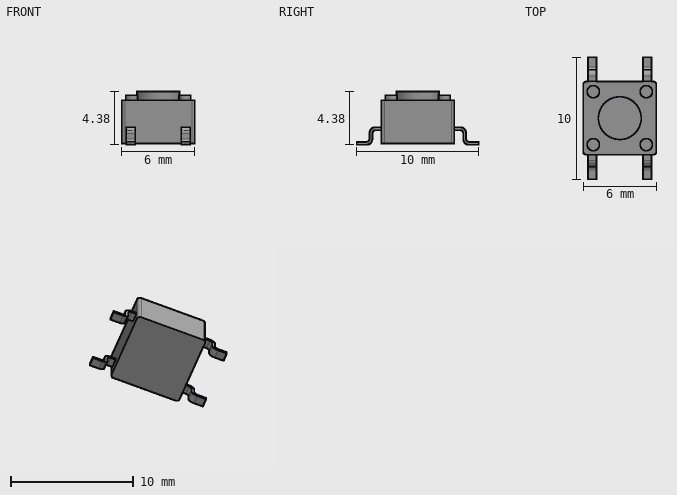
import cadquery as cq

body_side = 6.0
body_height = 3.56
body_standoff = 0.1
body_corner_radius = 0.26
body_top = body_standoff + body_height

button_diameter = 3.5
overall_height = 4.38

peg_diameter = 1.0
peg_height = 0.42
peg_pitch = 4.33

lead_span = 10.0
lead_pitch = 4.5
lead_width = 0.72
lead_thickness = 0.26
lead_top = 1.46
lead_knee_reach = 0.96
bend_outer_radius = 0.5
bend_inner_radius = bend_outer_radius - lead_thickness
lead_embed = 0.5


def make_body():
    block = cq.Workplane("XY", origin=(0, 0, body_standoff)).rect(body_side, body_side).extrude(body_height)
    return block.edges("|Z").fillet(body_corner_radius)


def make_button():
    top_plane = cq.Workplane("XY", origin=(0, 0, body_top))
    return top_plane.circle(button_diameter / 2).extrude(overall_height - body_top)


def make_pegs():
    top_plane = cq.Workplane("XY", origin=(0, 0, body_top))
    centers = top_plane.rect(peg_pitch, peg_pitch, forConstruction=True).vertices()
    return centers.circle(peg_diameter / 2).extrude(peg_height)


def make_lead(x_center):
    """One lead on the +Y side: a bent strip drawn in the YZ plane and extruded along X."""
    root = body_side / 2 - lead_embed
    tip = lead_span / 2
    knee_outer = body_side / 2 + lead_knee_reach
    knee_inner = knee_outer - lead_thickness
    upper_bend_y = knee_outer - bend_outer_radius
    upper_bend_z = lead_top - bend_outer_radius
    lower_bend_y = knee_inner + bend_outer_radius
    lower_bend_z = bend_outer_radius

    upper_side = (
        cq.Workplane("YZ", origin=(x_center - lead_width / 2, 0, 0))
        .moveTo(root, lead_top)
        .lineTo(upper_bend_y, lead_top)
        .tangentArcPoint((bend_outer_radius, -bend_outer_radius))
        .lineTo(knee_outer, lower_bend_z)
        .tangentArcPoint((bend_inner_radius, -bend_inner_radius))
        .lineTo(tip, lead_thickness)
    )
    outline = (
        upper_side
        .lineTo(tip, 0)
        .lineTo(lower_bend_y, 0)
        .tangentArcPoint((-bend_outer_radius, bend_outer_radius))
        .lineTo(knee_inner, upper_bend_z)
        .tangentArcPoint((-bend_inner_radius, bend_inner_radius))
        .lineTo(root, lead_top - lead_thickness)
        .close()
    )
    return outline.extrude(lead_width)


result = make_body().union(make_button()).union(make_pegs())
for x_side in (-1, 1):
    lead = make_lead(x_side * lead_pitch / 2)
    result = result.union(lead).union(lead.mirror("XZ"))